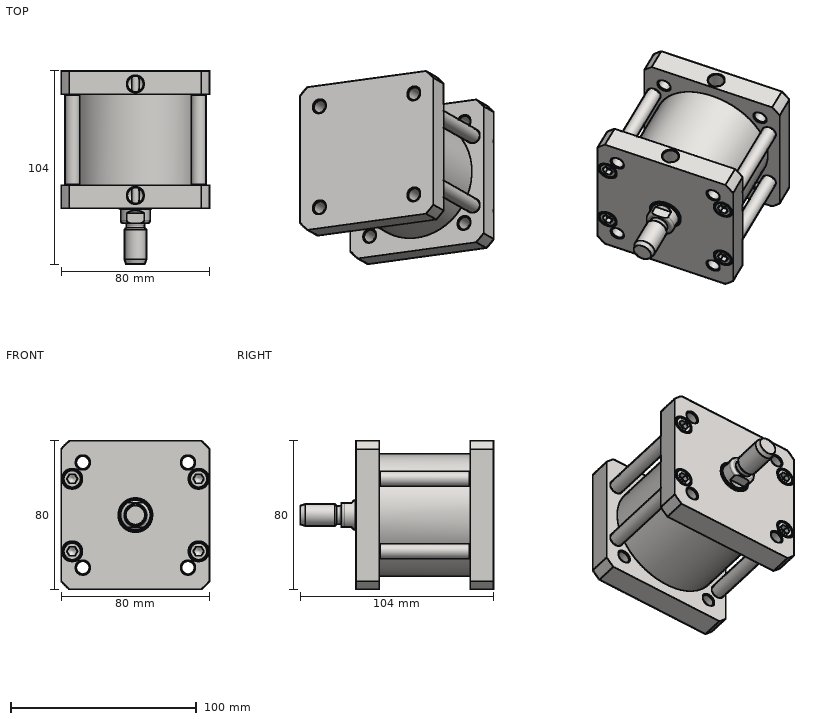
import cadquery as cq
import math


PLATE_SIDE = 80.0
CORNER_CIRCLE_DIAMETER = 107.0
OVERALL_BODY_LENGTH = 74.0
BARREL_LENGTH = 48.75
PLATE_THICKNESS = (OVERALL_BODY_LENGTH - BARREL_LENGTH) / 2
REAR_PLATE_START = PLATE_THICKNESS + BARREL_LENGTH

BARREL_DIAMETER = 66.0
BORE_DIAMETER = 63.0

MOUNT_CIRCLE_RADIUS = 40.0
MOUNT_OFFSET = MOUNT_CIRCLE_RADIUS * math.cos(math.radians(45))
MOUNT_DIAMETER = 6.9
MOUNT_RIM_DIAMETER = 8.0

PORT_DIAMETER = 8.57
PORT_RIM_DIAMETER = 9.4
PORT_FROM_OUTER_FACE = 7.0
PORT_DEPTH = 10.0
DRILL_POINT_ANGLE = 118.0
PORT_BAR_DIAMETER = 4.0
PORT_BAR_HEIGHT = 29.0

TIE_X = 34.0
TIE_Z = 19.5
TIE_DIAMETER = 8.0
TIE_END_CHAMFER = 0.4
SHANK_DIAMETER = 6.0
SHANK_REAR_DEPTH = 8.0
HEAD_DIAMETER = 10.0
HEAD_HEIGHT = 6.0
HEAD_CHAMFER = 0.5
COUNTERBORE_DIAMETER = 10.5
COUNTERBORE_RIM_DIAMETER = 11.0
SOCKET_FLATS = 5.0
SOCKET_DEPTH = 3.0

ROD_DIAMETER = 16.0
ROD_SHOULDER = 8.0
ROD_SHOULDER_FILLET = 1.6
FLAT_WIDTH = 13.0
FLAT_START = 2.5
NECK_DIAMETER = 10.1
NECK_COLLAR_END = 8.8
UNDERCUT_DIAMETER = 9.9
UNDERCUT_END = 10.35
THREAD_DIAMETER = 12.0
ROD_REACH = 30.0
ROD_TIP_DIAMETER = 10.2
ROD_TIP_LENGTH = 2.8

WIPER_DIAMETER = 17.7
WIPER_TIP_DIAMETER = 16.54
WIPER_REACH = 0.3
WIPER_SEAT_DIAMETER = 18.0
WIPER_SEAT_RIM_DIAMETER = 18.5
WIPER_SEAT_DEPTH = 0.5


def cylinder_y(diameter, start, length, x=0.0, z=0.0):
    """Cylinder along +Y from `start`."""
    return cq.Workplane(cq.Solid.makeCylinder(
        diameter / 2, length, cq.Vector(x, start, z), cq.Vector(0, 1, 0)))


def cone_y(start_diameter, end_diameter, start, length, x=0.0, z=0.0):
    """Truncated cone along +Y from `start`."""
    return cq.Workplane(cq.Solid.makeCone(
        start_diameter / 2, end_diameter / 2, length, cq.Vector(x, start, z), cq.Vector(0, 1, 0)))


def four_places(x, z):
    return [(sx * x, sz * z) for sx in (-1, 1) for sz in (-1, 1)]


def make_port(middle):
    """Drilled port, opening upward, with a countersunk rim and a conical bottom."""
    radius = PORT_DIAMETER / 2
    rim_radius = PORT_RIM_DIAMETER / 2
    rim_depth = rim_radius - radius
    top = PLATE_SIDE / 2
    floor = top - PORT_DEPTH
    tip = floor - radius / math.tan(math.radians(DRILL_POINT_ANGLE / 2))
    profile = [(0, top), (rim_radius, top), (radius, top - rim_depth), (radius, floor), (0, tip)]
    port = cq.Workplane("XZ").polyline(profile).close().revolve(360, (0, 0), (0, 1))
    return port.translate((0, middle, 0))


def make_plate(start, port_y):
    """Plate with rounded-off corners, four mounting holes, a port and a round bar across the port."""
    end = start + PLATE_THICKNESS
    plate = (
        cq.Workplane("XY")
        .box(PLATE_SIDE, PLATE_THICKNESS, PLATE_SIDE, centered=(True, False, True))
        .translate((0, start, 0))
        .intersect(cylinder_y(CORNER_CIRCLE_DIAMETER, start, PLATE_THICKNESS))
    )
    rim = (MOUNT_RIM_DIAMETER - MOUNT_DIAMETER) / 2
    for x, z in four_places(MOUNT_OFFSET, MOUNT_OFFSET):
        plate = plate.cut(cylinder_y(MOUNT_DIAMETER, start, PLATE_THICKNESS, x, z))
        plate = plate.cut(cone_y(MOUNT_RIM_DIAMETER, MOUNT_DIAMETER, start, rim, x, z))
        plate = plate.cut(cone_y(MOUNT_DIAMETER, MOUNT_RIM_DIAMETER, end - rim, rim, x, z))
    plate = plate.cut(make_port(port_y))
    bar_start = port_y - PORT_RIM_DIAMETER / 2
    return plate.union(cylinder_y(PORT_BAR_DIAMETER, bar_start, PORT_RIM_DIAMETER, z=PORT_BAR_HEIGHT))


def make_front_plate():
    plate = make_plate(0, PORT_FROM_OUTER_FACE)
    rim = (COUNTERBORE_RIM_DIAMETER - COUNTERBORE_DIAMETER) / 2
    for x, z in four_places(TIE_X, TIE_Z):
        plate = plate.cut(cylinder_y(SHANK_DIAMETER, 0, PLATE_THICKNESS, x, z))
        plate = plate.cut(cylinder_y(COUNTERBORE_DIAMETER, 0, HEAD_HEIGHT, x, z))
        plate = plate.cut(cone_y(COUNTERBORE_RIM_DIAMETER, COUNTERBORE_DIAMETER, 0, rim, x, z))
    plate = plate.cut(cylinder_y(WIPER_SEAT_DIAMETER, 0, WIPER_SEAT_DEPTH))
    seat_rim = (WIPER_SEAT_RIM_DIAMETER - WIPER_SEAT_DIAMETER) / 2
    plate = plate.cut(cone_y(WIPER_SEAT_RIM_DIAMETER, WIPER_SEAT_DIAMETER, 0, seat_rim))
    plate = plate.union(cylinder_y(WIPER_DIAMETER, 0, WIPER_SEAT_DEPTH))
    plate = plate.union(cone_y(WIPER_TIP_DIAMETER, WIPER_DIAMETER, -WIPER_REACH, WIPER_REACH))
    return plate.cut(cylinder_y(ROD_DIAMETER, -WIPER_REACH, WIPER_REACH + PLATE_THICKNESS))


def make_rear_plate():
    plate = make_plate(REAR_PLATE_START, OVERALL_BODY_LENGTH - PORT_FROM_OUTER_FACE)
    for x, z in four_places(TIE_X, TIE_Z):
        plate = plate.cut(cylinder_y(SHANK_DIAMETER, REAR_PLATE_START, SHANK_REAR_DEPTH, x, z))
    return plate


def make_barrel():
    barrel = cylinder_y(BARREL_DIAMETER, PLATE_THICKNESS, BARREL_LENGTH)
    return barrel.cut(cylinder_y(BORE_DIAMETER, PLATE_THICKNESS, BARREL_LENGTH))


def make_tie_rod(x, z):
    rod = cylinder_y(TIE_DIAMETER, PLATE_THICKNESS, BARREL_LENGTH).faces("<Y or >Y").chamfer(TIE_END_CHAMFER)
    rod = rod.union(cylinder_y(SHANK_DIAMETER, 0, REAR_PLATE_START + SHANK_REAR_DEPTH))
    head = cylinder_y(HEAD_DIAMETER, 0, HEAD_HEIGHT).faces("<Y").chamfer(HEAD_CHAMFER)
    rod = rod.union(head)

    corners = SOCKET_FLATS / math.cos(math.radians(30))
    point_length = corners / 2 / math.tan(math.radians(DRILL_POINT_ANGLE / 2))
    hexagon = cq.Workplane("XZ").polygon(6, corners).extrude(-SOCKET_DEPTH - point_length)
    drill = cylinder_y(corners, 0, SOCKET_DEPTH).union(cone_y(corners, 0, SOCKET_DEPTH, point_length))
    return rod.cut(hexagon.intersect(drill)).translate((x, 0, z))


def make_piston_rod():
    rod = cylinder_y(ROD_DIAMETER, -ROD_SHOULDER, ROD_SHOULDER + PLATE_THICKNESS)
    rod = rod.faces("<Y").edges().fillet(ROD_SHOULDER_FILLET)

    step = (ROD_DIAMETER - FLAT_WIDTH) / 2
    flat_profile = [
        (-ROD_SHOULDER, FLAT_WIDTH / 2),
        (-FLAT_START, FLAT_WIDTH / 2),
        (-FLAT_START + step, ROD_DIAMETER / 2),
        (-ROD_SHOULDER, ROD_DIAMETER / 2),
    ]
    flat = cq.Workplane("YZ").polyline(flat_profile).close().extrude(ROD_DIAMETER / 2, both=True)
    rod = rod.cut(flat).cut(flat.mirror("XY"))

    thread_start = UNDERCUT_END + (THREAD_DIAMETER - UNDERCUT_DIAMETER) / 2
    stud_profile = [
        (0, 0),
        (NECK_DIAMETER / 2, 0),
        (NECK_DIAMETER / 2, -NECK_COLLAR_END),
        (UNDERCUT_DIAMETER / 2, -UNDERCUT_END),
        (THREAD_DIAMETER / 2, -thread_start),
        (THREAD_DIAMETER / 2, -ROD_REACH + ROD_TIP_LENGTH),
        (ROD_TIP_DIAMETER / 2, -ROD_REACH),
        (0, -ROD_REACH),
    ]
    stud = cq.Workplane("XY").polyline(stud_profile).close().revolve(360, (0, 0), (0, 1))
    return rod.union(stud)


front_plate = make_front_plate()
rear_plate = make_rear_plate()
barrel = make_barrel()
piston_rod = make_piston_rod()
tie_rods = [make_tie_rod(x, z) for x, z in four_places(TIE_X, TIE_Z)]

result = cq.Compound.makeCompound([
    front_plate.val(),
    rear_plate.val(),
    barrel.val(),
    piston_rod.val(),
    *[tie_rod.val() for tie_rod in tie_rods],
])